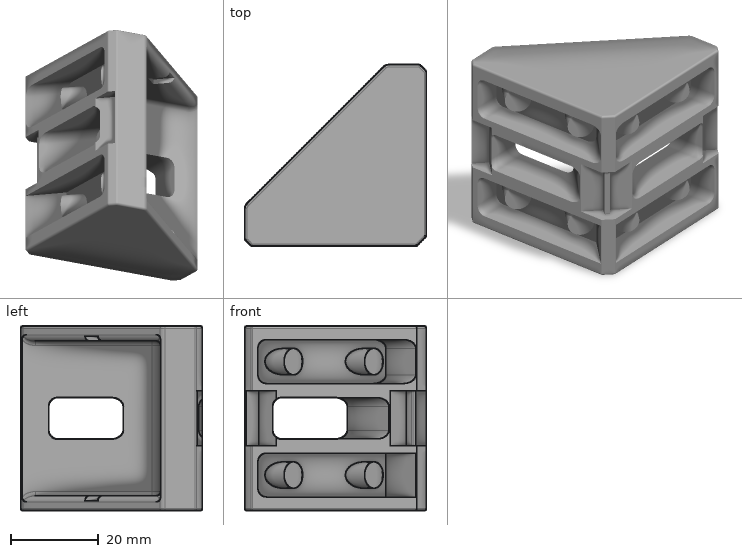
import cadquery as cq
import math


side = 41.3
height = 42.0
flange_end = 9.2
end_chamfer = 1.5
heel_chamfer = 2.2
end_rounding = 1.5
chamfer_rounding = 0.5
rim_rounding = 0.5

flange = 9.5
plate = 3.4
inner_corner_radius = 2.0
floor_radius = 1.0
mouth_radius = 1.4

cover_notch_width = 4.1
cover_notch_length = 5.0
cover_notch_depth = 1.1

slot_start = 6.4
slot_end = 32.8
slot_height = 9.4

pocket_start = 3.0
pocket_end = 38.9
pocket_depth = 6.8
pocket_height = 10.0
pocket_offset = 12.9
corner_radius = 2.0
peg_radius = 3.0
peg_length = 3.15
peg_start = 8.85
peg_pitch = 18.3

notch_height = 12.5
notch_edge = 7.2
notch_slant = -0.9
heel_floor = 33.05
ridge_top = 35.7
ridge_width = 1.3
ridge_rounding = 0.2

overshoot = 1.0
outward = (1, -1, 0)


def slanted_point(total, difference):
    """The point where x + y = total and x - y = difference."""
    return ((total + difference) / 2, (total - difference) / 2)


def prism(points, thickness, center_z=0.0):
    """A prism along Z with the given outline, centred at height center_z."""
    bottom = cq.Workplane("XY").workplane(offset=center_z - thickness / 2)
    return bottom.polyline(points).close().extrude(thickness)


def mirrored(shape):
    """The shape's twin on the other side of the diagonal plane."""
    return shape.mirror(cq.Vector(1, 1, 0), (side / 2, side / 2, 0))


def outer_body():
    outline = [
        (end_chamfer, 0),
        (side - heel_chamfer, 0),
        (side, heel_chamfer),
        (side, side - end_chamfer),
        (side - end_chamfer, side),
        (side - flange_end, side),
        (0, flange_end),
        (0, end_chamfer),
    ]
    body = prism(outline, height)
    roundings = [
        ((0, flange_end), end_rounding),
        ((0, end_chamfer), chamfer_rounding),
        ((end_chamfer, 0), chamfer_rounding),
    ]
    for (x, y), radius in roundings:
        for corner in ((x, y, 0), (side - y, side - x, 0)):
            body = body.edges(cq.selectors.NearestToPointSelector(corner)).fillet(radius)
    return body.faces("<Z or >Z").edges().fillet(rim_rounding)


def mouth_flare():
    """What widens the cavity along the slanted side, leaving rounded inner edges on the plates."""
    inner = height / 2 - plate
    outer = inner + mouth_radius
    arc_reach = mouth_radius / math.sqrt(2)
    middle_depth = mouth_radius - arc_reach
    middle_z = outer - arc_reach
    plane = cq.Plane((*slanted_point(side, -flange_end), 0), outward, (1, 1, 0))
    profile = (
        cq.Workplane(plane)
        .moveTo(-overshoot, -outer)
        .lineTo(-overshoot, outer)
        .lineTo(0, outer)
        .threePointArc((middle_depth, middle_z), (mouth_radius, inner))
        .lineTo(mouth_radius, -inner)
        .threePointArc((middle_depth, -middle_z), (0, -outer))
        .close()
    )
    return profile.extrude(side, both=True)


def cavity():
    """The space between the plates, with rounded edges along its floors."""
    wall = side - flange
    inside = prism([(-side, flange), (wall, flange), (wall, 2 * side)], height)
    beyond_slant = -flange_end - overshoot * math.sqrt(2)
    outline = [
        (wall, flange),
        (wall, wall - beyond_slant),
        (flange + beyond_slant, flange),
    ]
    space = prism(outline, height - 2 * plate).union(mouth_flare().intersect(inside))
    space = space.edges(cq.selectors.NearestToPointSelector((wall, flange, 0))).fillet(inner_corner_radius)
    return space.faces("<Y or >X").edges("not |Z").fillet(floor_radius)


def cover_notches():
    half = cover_notch_width / math.sqrt(2)
    near = -flange_end - overshoot
    far = -flange_end + cover_notch_length * math.sqrt(2)
    outline = [
        slanted_point(side - half, near),
        slanted_point(side + half, near),
        slanted_point(side + half, far),
        slanted_point(side - half, far),
    ]
    return prism(outline, height - 2 * plate + 2 * cover_notch_depth)


def recess(start, end, depth, thickness, center_z, round_end):
    """A recess in the -Y flange with one straight end and one end sloping at 45 degrees."""
    outline = [(start, 0), (end, 0), (end - depth, depth), (start, depth)]
    shape = prism(outline, thickness, center_z).edges("|Y").fillet(corner_radius)
    if round_end:
        shape = shape.edges(cq.selectors.ParallelDirSelector(cq.Vector(*outward))).fillet(corner_radius)
    return shape


def screw_slot():
    return recess(slot_start, slot_end, flange + overshoot, slot_height, 0, True)


def peg(base_x, z):
    """A slanted peg whose tip face just clears the pocket floor."""
    buried = 2 * peg_radius
    shift = buried / math.sqrt(2)
    plane = cq.Plane((base_x - shift, pocket_depth + shift, z), (0, 0, 1), outward)
    return cq.Workplane(plane).circle(peg_radius).extrude(buried + peg_length)


def pocket(z, round_end):
    shape = recess(pocket_start, pocket_end, pocket_depth, pocket_height, z, round_end)
    for base_x in (peg_start, peg_start + peg_pitch):
        shape = shape.cut(peg(base_x, z))
    return shape


def end_notch():
    """A V-shaped notch across the outer corner of the -Y flange's end."""
    outline = [
        (notch_edge, 0),
        slanted_point(notch_edge, notch_slant),
        slanted_point(-overshoot, notch_slant),
        slanted_point(-overshoot, notch_edge),
    ]
    return prism(outline, notch_height)


def heel_notch():
    """A notch across the heel, with a ridge left standing in its middle."""
    ridge = ridge_width / math.sqrt(2)
    outline = [
        slanted_point(0, heel_floor),
        slanted_point(side - ridge, heel_floor),
        slanted_point(side - ridge, ridge_top),
        slanted_point(side + ridge, ridge_top),
        slanted_point(side + ridge, heel_floor),
        slanted_point(2 * side, heel_floor),
        slanted_point(side, 2 * side),
    ]
    notch = prism(outline, notch_height)
    for total in (side - ridge, side + ridge):
        corner = slanted_point(total, ridge_top)
        notch = notch.edges(cq.selectors.NearestToPointSelector((*corner, 0))).fillet(ridge_rounding)
    return notch


result = outer_body().cut(cavity())
result = result.cut(cover_notches()).cut(heel_notch())
flange_cutters = [
    screw_slot(),
    pocket(pocket_offset, True),
    pocket(-pocket_offset, False),
    end_notch(),
]
for cutter in flange_cutters:
    result = result.cut(cutter).cut(mirrored(cutter))